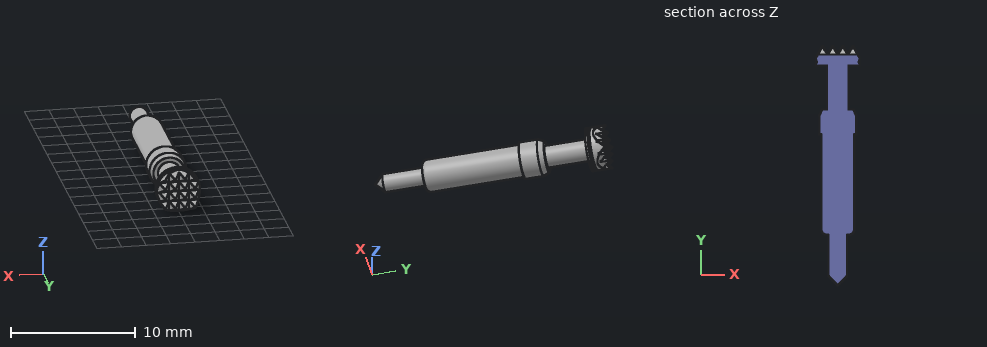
import cadquery as cq
import math


HEAD_RADIUS = 1.75
HEAD_LENGTH = 1.6
RING_GROOVE_WIDTH = 0.2
RING_GROOVE_DEPTH = 0.06
RING_GROOVE_FROM_TIP = 1.3

TEETH_PER_SIDE = 4
TOOTH_DEPTH = 0.7
TOOTH_ANGLE = math.radians(60)
CUT_MARGIN = 0.5

STEM_RADIUS = 0.9
STEM_LENGTH = 3.5

COLLAR_RADIUS = 1.5
COLLAR_LENGTH = 2.0
COLLAR_CHAMFER_LENGTH = 0.5
COLLAR_CHAMFER_SLOPE = math.radians(25)

BARREL_RADIUS = 1.325
BARREL_LENGTH = 8.05
BARREL_END_FILLET = 0.4
PIN_RADIUS = 0.75
PIN_POINT_LENGTH = PIN_RADIUS
TOTAL_LENGTH = 19.2

collar_top = COLLAR_LENGTH
head_base = collar_top + STEM_LENGTH
tooth_tip = head_base + HEAD_LENGTH
ring_groove_y = tooth_tip - RING_GROOVE_FROM_TIP
barrel_end = -BARREL_LENGTH
pin_tip = tooth_tip - TOTAL_LENGTH
pin_shoulder = pin_tip + PIN_POINT_LENGTH


def turned_body():
    """Revolve the half profile, (radius, y), about the Y axis."""
    chamfer_width = COLLAR_CHAMFER_LENGTH * math.tan(COLLAR_CHAMFER_SLOPE)
    fillet_drop = BARREL_END_FILLET * (1 - math.cos(math.radians(45)))
    profile = (
        cq.Workplane("XY")
        .moveTo(0, pin_tip)
        .lineTo(PIN_RADIUS, pin_shoulder)
        .lineTo(PIN_RADIUS, barrel_end)
        .lineTo(BARREL_RADIUS - BARREL_END_FILLET, barrel_end)
        .threePointArc(
            (BARREL_RADIUS - fillet_drop, barrel_end + fillet_drop),
            (BARREL_RADIUS, barrel_end + BARREL_END_FILLET),
        )
        .lineTo(BARREL_RADIUS, 0)
        .lineTo(COLLAR_RADIUS, 0)
        .lineTo(COLLAR_RADIUS, collar_top - COLLAR_CHAMFER_LENGTH)
        .lineTo(COLLAR_RADIUS - chamfer_width, collar_top)
        .lineTo(STEM_RADIUS, collar_top)
        .lineTo(STEM_RADIUS, head_base)
        .lineTo(HEAD_RADIUS, head_base)
        .lineTo(HEAD_RADIUS, ring_groove_y - RING_GROOVE_WIDTH / 2)
        .lineTo(HEAD_RADIUS - RING_GROOVE_DEPTH, ring_groove_y)
        .lineTo(HEAD_RADIUS, ring_groove_y + RING_GROOVE_WIDTH / 2)
        .lineTo(HEAD_RADIUS, tooth_tip)
        .lineTo(0, tooth_tip)
        .close()
    )
    return profile.revolve(360, (0, 0, 0), (0, 1, 0))


def crown_outlines():
    """Triangles between and beside the tooth tips, as (x, y) points."""
    half_pitch = TOOTH_DEPTH * math.tan(TOOTH_ANGLE / 2)
    pitch = 2 * half_pitch
    outer_tip = (TEETH_PER_SIDE - 1) * half_pitch
    outlines = []
    for index in range(TEETH_PER_SIDE - 1):
        left_tip = index * pitch - outer_tip
        outlines.append([
            (left_tip, tooth_tip),
            (left_tip + half_pitch, tooth_tip - TOOTH_DEPTH),
            (left_tip + pitch, tooth_tip),
        ])
    bevel_edge = HEAD_RADIUS + CUT_MARGIN
    bevel_drop = (bevel_edge - outer_tip) / math.tan(TOOTH_ANGLE / 2)
    for side in (-1, 1):
        outlines.append([
            (side * outer_tip, tooth_tip),
            (side * bevel_edge, tooth_tip),
            (side * bevel_edge, tooth_tip - bevel_drop),
        ])
    return outlines


def cut_crown(body):
    """Cut the grooves and bevels along Z, then again along X, to leave the pyramid teeth."""
    for turn in (0, 90):
        for outline in crown_outlines():
            bar = cq.Workplane("XY").polyline(outline).close()
            bar = bar.extrude(HEAD_RADIUS + CUT_MARGIN, both=True)
            body = body.cut(bar.rotate((0, 0, 0), (0, 1, 0), turn))
    return body


result = cut_crown(turned_body())